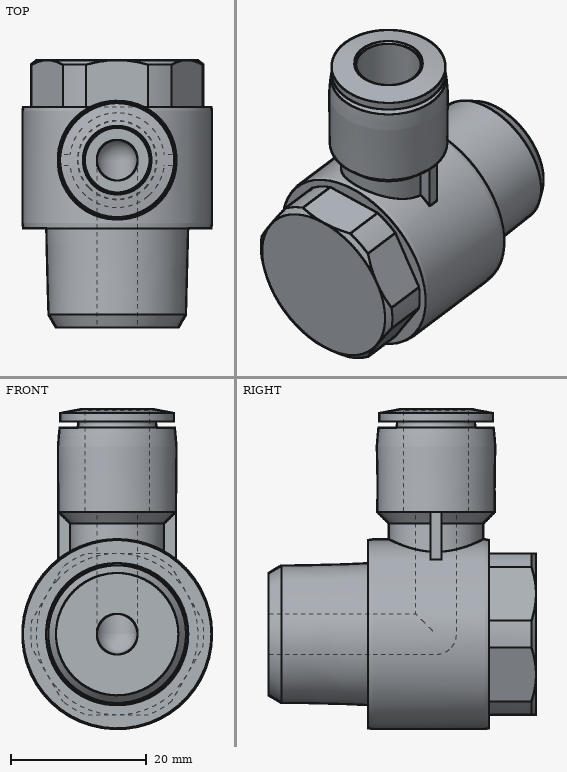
import cadquery as cq
import math


body_radius = 28.0 / 2
body_edge_radius = 13.9
body_back = 7.85
body_front = -10.05
back_chamfer = 0.6
front_chamfer = 0.75

stub_root_radius = 10.5
stub_tip_radius = 10.15
stub_end_radius = 9.0
stub_chamfer = 1.95
stub_end = -24.7

hex_flats = 23.8
hex_corner_radius = 12.75
hex_end = 14.75
hex_chamfer = 0.65

neck_radius = 7.0
neck_top = 16.35
socket_bottom = 18.05
socket_base_radius = 8.7
socket_radius = 17.5 / 2
socket_shoulder = 27.6
socket_step = 29.1
socket_step_radius = 8.65
socket_rim_radius = 8.5
socket_top = 30.45

groove_radius = 11.5 / 2
groove_foot_radius = 5.85
groove_foot_top = 30.9
collar_bottom = 31.3
collar_edge = 32.55
collar_radius = 16.8 / 2
collar_top = 47.2 - body_radius
mouth_radius = 5.05

tube_bore_radius = 9.55 / 2
tube_bore_floor = socket_bottom
mouth_chamfer = mouth_radius - tube_bore_radius
flow_bore_radius = 6.0 / 2

rib_thickness = 1.65


def revolve_about_y(profile):
    """Revolve (radius, y) points about the Y axis."""
    return cq.Workplane("XY").polyline(profile).close().revolve(360, (0, 0, 0), (0, 1, 0))


def revolve_about_z(profile):
    """Revolve (radius, z) points about the Z axis."""
    return cq.Workplane("XZ").polyline(profile).close().revolve(360, (0, 0, 0), (0, 1, 0))


def make_body():
    return revolve_about_y([
        (0, body_back),
        (body_edge_radius, body_back),
        (body_radius, body_back - back_chamfer),
        (body_radius, body_front + front_chamfer),
        (body_edge_radius, body_front),
        (stub_root_radius, body_front),
        (stub_tip_radius, stub_end + stub_chamfer),
        (stub_end_radius, stub_end),
        (0, stub_end),
    ])


def make_hex_head():
    across_corners = hex_flats / math.cos(math.pi / 6)
    prism = (
        cq.Workplane("XZ", origin=(0, hex_end, 0))
        .polygon(6, across_corners)
        .extrude(hex_end)
    )
    envelope = revolve_about_y([
        (0, 0),
        (hex_corner_radius, 0),
        (hex_corner_radius, hex_end - hex_chamfer),
        (hex_flats / 2, hex_end),
        (0, hex_end),
    ])
    return prism.intersect(envelope)


def make_tube_port():
    return revolve_about_z([
        (0, 0),
        (neck_radius, 0),
        (neck_radius, neck_top),
        (socket_base_radius, socket_bottom),
        (socket_radius, socket_shoulder),
        (socket_step_radius, socket_step),
        (socket_rim_radius, socket_top),
        (groove_foot_radius, socket_top),
        (groove_radius, groove_foot_top),
        (groove_radius, collar_bottom),
        (collar_radius, collar_bottom),
        (collar_radius, collar_edge),
        (mouth_radius, collar_top),
        (0, collar_top),
    ])


def make_ribs():
    return cq.Workplane("XY").box(
        2 * socket_base_radius, rib_thickness, socket_bottom, centered=(True, True, False)
    )


def make_tube_bore():
    return revolve_about_z([
        (0, tube_bore_floor),
        (tube_bore_radius, tube_bore_floor),
        (tube_bore_radius, collar_top - mouth_chamfer),
        (mouth_radius, collar_top),
        (0, collar_top),
    ])


def make_flow_passage():
    riser = cq.Workplane("XY").circle(flow_bore_radius).extrude(tube_bore_floor)
    inlet = cq.Workplane("XZ").circle(flow_bore_radius).extrude(-stub_end)
    elbow = cq.Workplane("XY").sphere(flow_bore_radius)
    return riser.union(inlet).union(elbow)


solid = make_body().union(make_hex_head()).union(make_tube_port()).union(make_ribs())
result = solid.cut(make_tube_bore()).cut(make_flow_passage())